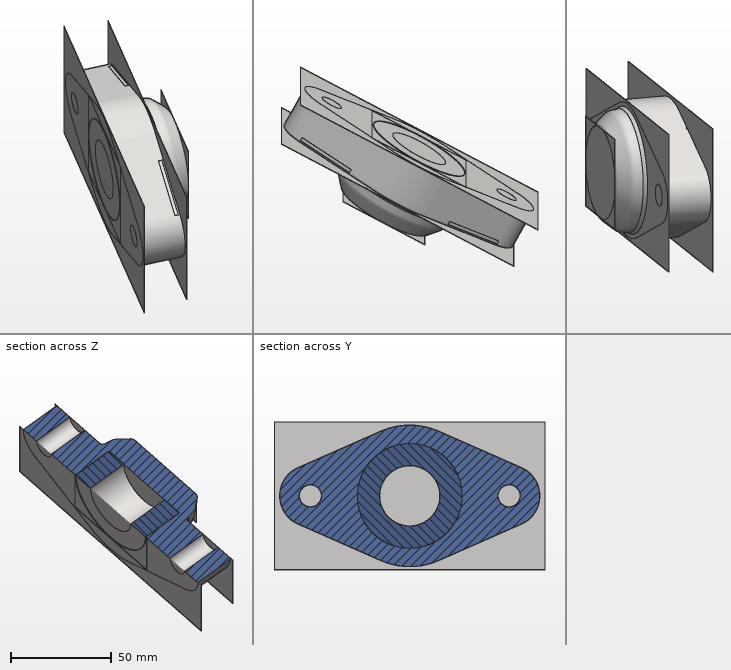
import cadquery as cq
import math


bolt_offset = 49.6
end_radius = 15.4
middle_radius = 35.4
flange_depth = 22.6
back_edge_radius = 1.1
bolt_diameter = 11.0

sheet_thickness = 0.1
front_sheet_size = (135.2, 74.0)
back_sheet_size = (132.2, 71.3)

strip_width = 1.8
strip_inner_x = 28.0
strip_height = 0.07

total_depth = 37.0
dome_root_radius = 32.2
dome_base_radius = 31.1
root_flare_depth = 1.9
dome_shoulder_radius = 30.3
dome_shoulder_depth = 29.6
dome_top_radius = 24.0
shoulder_fillet = 3.8
top_fillet = 3.2
dome_sheet_side = 46.5

insert_diameter = 52.0
insert_bore = 30.0
collar_side = 53.4
collar_depth = 0.3
collar_thickness = 0.1

flank_angle = math.asin((middle_radius - end_radius) / bolt_offset)
flank_normal = (math.sin(flank_angle), math.cos(flank_angle))
end_tangent = (bolt_offset + end_radius * flank_normal[0], end_radius * flank_normal[1])
middle_tangent = (middle_radius * flank_normal[0], middle_radius * flank_normal[1])


def xz_plane(depth):
    """Workplane at the given depth whose extrusions run toward +Y; its local Y is -Z."""
    return cq.Workplane(cq.Plane(origin=(0, depth, 0), xDir=(1, 0, 0), normal=(0, 1, 0)))


def sheet(size, depth):
    """Thin rectangular sheet whose front lies at the given depth."""
    return xz_plane(depth).rect(*size).extrude(sheet_thickness)


def flange():
    """Tangent-sided flange with a rounded back edge and two bolt holes."""
    end_x, end_z = end_tangent
    middle_x, middle_z = middle_tangent
    tip_x = bolt_offset + end_radius
    body = (
        xz_plane(0)
        .moveTo(-middle_x, middle_z)
        .threePointArc((0, middle_radius), (middle_x, middle_z))
        .lineTo(end_x, end_z)
        .threePointArc((tip_x, 0), (end_x, -end_z))
        .lineTo(middle_x, -middle_z)
        .threePointArc((0, -middle_radius), (-middle_x, -middle_z))
        .lineTo(-end_x, -end_z)
        .threePointArc((-tip_x, 0), (-end_x, end_z))
        .close()
        .extrude(flange_depth)
        .faces(">Y").edges().fillet(back_edge_radius)
    )
    bolt_holes = (
        xz_plane(0)
        .pushPoints([(-bolt_offset, 0), (bolt_offset, 0)])
        .circle(bolt_diameter / 2)
        .extrude(flange_depth)
    )
    return body.cut(bolt_holes)


def flank_strip(side_x, side_z):
    """Strip on one flank, from the end lobe inward; the two signs choose the flank."""
    outer_x, outer_z = end_tangent
    inner_z = outer_z + (outer_x - strip_inner_x) * math.tan(flank_angle)
    lift_x, lift_z = [strip_height * part for part in flank_normal]
    outline = [
        (outer_x, outer_z),
        (outer_x + lift_x, outer_z + lift_z),
        (strip_inner_x + lift_x, inner_z + lift_z),
        (strip_inner_x, inner_z),
    ]
    points = [(side_x * x, side_z * z) for x, z in outline]
    start_depth = flange_depth - back_edge_radius - strip_width
    return xz_plane(start_depth).polyline(points).close().extrude(strip_width)


def revolve_about_y(points):
    return cq.Workplane("XY").polyline(points).close().revolve(360, (0, 0, 0), (0, 1, 0))


def dome():
    """Domed cap with a drafted wall, a rounded shoulder and top, and a flared root."""
    sheet_back = flange_depth + sheet_thickness
    wall_start = sheet_back + root_flare_depth
    body = revolve_about_y([
        (0, flange_depth),
        (dome_base_radius, flange_depth),
        (dome_base_radius, wall_start),
        (dome_shoulder_radius, dome_shoulder_depth),
        (dome_top_radius, total_depth),
        (0, total_depth),
    ])
    shoulder = cq.selectors.BoxSelector(
        (-middle_radius, dome_shoulder_depth - sheet_thickness, -middle_radius),
        (middle_radius, dome_shoulder_depth + sheet_thickness, middle_radius),
        boundingbox=True,
    )
    body = body.edges(shoulder).fillet(shoulder_fillet)
    body = body.faces(">Y").edges().fillet(top_fillet)
    flare = revolve_about_y([
        (0, flange_depth),
        (dome_root_radius, flange_depth),
        (dome_root_radius, sheet_back),
        (dome_base_radius, wall_start),
        (0, wall_start),
    ])
    top_sheet = sheet((dome_sheet_side, dome_sheet_side), total_depth - sheet_thickness)
    return body.union(flare).union(top_sheet)


def insert_blank():
    """Insert without its bore: a disc as deep as the flange, with a thin square collar."""
    disc = xz_plane(0).circle(insert_diameter / 2).extrude(flange_depth)
    collar = xz_plane(collar_depth).rect(collar_side, collar_side).extrude(collar_thickness)
    return disc.union(collar)


def make_housing():
    """Flange between its two sheets, with the dome behind and a recess fitting the insert."""
    body = flange()
    for side_x in (-1, 1):
        for side_z in (-1, 1):
            body = body.union(flank_strip(side_x, side_z))
    body = body.union(sheet(front_sheet_size, 0))
    body = body.union(sheet(back_sheet_size, flange_depth))
    body = body.union(dome())
    return body.cut(insert_blank())


def make_insert():
    """Insert whose bore stops one sheet thickness behind the front face."""
    bore = xz_plane(sheet_thickness).circle(insert_bore / 2).extrude(flange_depth)
    return insert_blank().cut(bore)


housing = make_housing()
insert = make_insert()

result = cq.Compound.makeCompound([housing.solids().val(), insert.solids().val()])